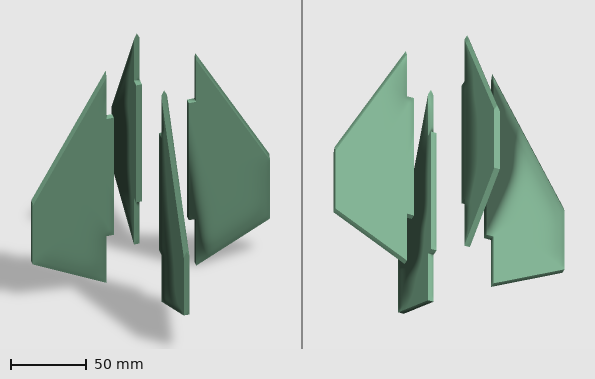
import cadquery as cq

fin_count = 4
outer_radius = 164.0 / 2
root_radius = 31.0
tab_inner_radius = 26.0

height = 180.0
thickness = 4.0
tip_edge_bottom = 28.0
tip_edge_top = 82.0

tab_length = 100.0
tab_bottom = (height - tab_length) / 2
tab_top = tab_bottom + tab_length

half_thickness = thickness / 2
bevel_depth = half_thickness
cutter_overrun = 9.0


def make_plate():
    """Flat fin in the XZ plane with its tab pointing toward the Z axis."""
    return (
        cq.Workplane("XZ")
        .polyline([
            (root_radius, 0),
            (outer_radius, tip_edge_bottom),
            (outer_radius, tip_edge_top),
            (root_radius, height),
            (root_radius, tab_top),
            (tab_inner_radius, tab_top),
            (tab_inner_radius, tab_bottom),
            (root_radius, tab_bottom),
        ])
        .close()
        .extrude(half_thickness, both=True)
    )


def make_bevel_cutter(side):
    """Triangular bar along the leading edge, on the +Y (1) or -Y (-1) face."""
    edge_start = cq.Vector(outer_radius, 0, tip_edge_top)
    edge = cq.Vector(root_radius, 0, height) - edge_start
    direction = edge.normalized()
    section = cq.Plane(
        origin=(edge_start - direction * cutter_overrun).toTuple(),
        xDir=(0, -1, 0),
        normal=direction.toTuple(),
    )
    face = 2 * side * half_thickness
    return (
        cq.Workplane(section)
        .polyline([(0, 0), (face, -2 * bevel_depth), (face, 0)])
        .close()
        .extrude(edge.Length + 2 * cutter_overrun)
    )


def make_fin(angle):
    """Bevelled fin turned to its place around the Z axis."""
    fin = make_plate()
    for side in (1, -1):
        fin = fin.cut(make_bevel_cutter(side))
    return fin.rotate((0, 0, 0), (0, 0, 1), angle)


fins = [make_fin(index * 360 / fin_count) for index in range(fin_count)]

result = cq.Compound.makeCompound([fin.val() for fin in fins])